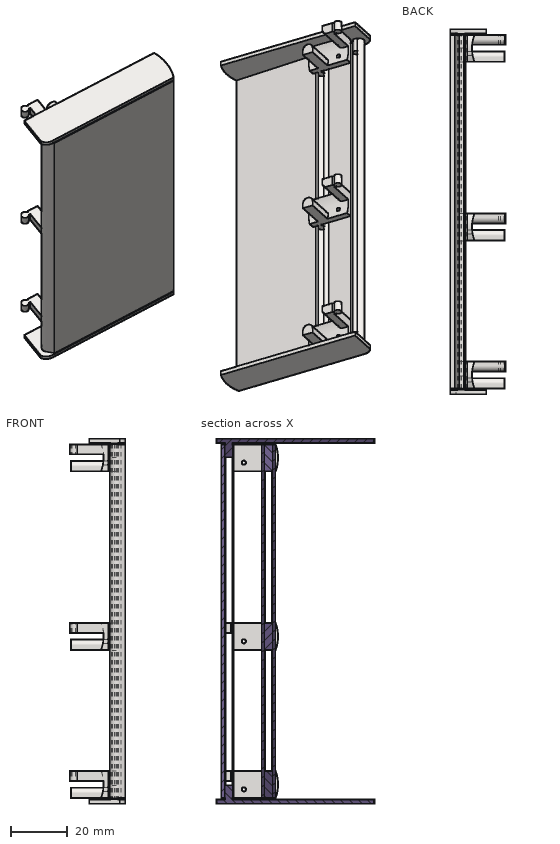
import cadquery as cq
import math

TOTAL_HEIGHT = 128.9
TOTAL_DEPTH = 19.65
CAP_THICKNESS = 1.6
CAP_WIDTH = 12.8
CAP_LENGTH = 55.85
CAP_CROWN = 1.2
CAP_CORNER_WIDTH = 2.0
CAP_CORNER_LENGTH = 3.6

CAP_GAP = 0.4
PANEL_HEIGHT = TOTAL_HEIGHT - 2 * (CAP_THICKNESS + CAP_GAP)
PANEL_HALF = PANEL_HEIGHT / 2
PANEL_BACK = CAP_WIDTH
PANEL_END = CAP_LENGTH - CAP_CROWN
WALL_INNER_END = 11.1
WALL_INNER_BEAD = 8.9

BEAD_RADIUS = 1.95
BEAD_X = 9.15
BEAD_Y = 3.6

GROOVE_DIAMETER = 2.7
GROOVE_RADIUS = GROOVE_DIAMETER / 2
PIN_GROOVE_X = 8.9
PIN_GROOVE_Y = 4.4
PIN_GROOVE_MOUTH = 2.3
PIN_LENGTH = 5.0
LIP_FRONT = 7.9
LIP_END = 6.2

RAIL_Y = 18.4
RAIL_WIDTH = 4.8
RAIL_FRONT = 7.95
RAIL_MOUTH = 2.4
RAIL_EDGE_ROUND = 0.7
RAIL_GROOVE_X = RAIL_FRONT + math.sqrt(GROOVE_RADIUS ** 2 - (RAIL_MOUTH / 2) ** 2)

BRACKET_HEIGHT = 9.6
MIDDLE_BRACKET_TOP = -0.6
BRACKET_TOPS = (PANEL_HALF, MIDDLE_BRACKET_TOP, BRACKET_HEIGHT - PANEL_HALF)

PLATE_BACK = 6.7
PLATE_WAIST = 5.1
PLATE_RIM = 4.2
PLATE_START = 5.65
PLATE_END = 21.8
PLATE_BULGE = 0.9

ARM_TIP = -6.4
ARM_HEIGHT = 3.6
ARM_WIDTH = 4.1
ARM_EDGE_ROUND = 2.0

HOOK_DIAMETER = 2.7
HOOK_RADIUS = HOOK_DIAMETER / 2
HOOK_X = PANEL_BACK - TOTAL_DEPTH + HOOK_RADIUS
HOOK_Y = 3.85
HOOK_NECK = 1.4

PEG_Y = 15.6
PEG_WIDTH = 3.9
PEG_RADIUS = PEG_WIDTH / 2
PEG_HEIGHT = 3.75

HOLE_DIAMETER = 1.4
HOLE_Y = 9.7
HOLE_HEIGHT = 3.1

FOOT_NECK = 1.5


def make_cap(bottom, pin_bottom):
    """Flat cap with a round pin that slides into the pin groove of the panel."""
    corner_radius = (CAP_CORNER_WIDTH ** 2 + CAP_CORNER_LENGTH ** 2) / (2 * CAP_CORNER_WIDTH)
    cover = (
        cq.Workplane("XY", origin=(0, 0, bottom))
        .lineTo(CAP_WIDTH - CAP_CORNER_WIDTH, 0)
        .radiusArc((CAP_WIDTH, CAP_CORNER_LENGTH), -corner_radius)
        .lineTo(CAP_WIDTH, PANEL_END)
        .threePointArc((CAP_WIDTH / 2, CAP_LENGTH), (0, PANEL_END))
        .close()
        .extrude(CAP_THICKNESS)
    )
    pin = (
        cq.Workplane("XY", origin=(PIN_GROOVE_X, PIN_GROOVE_Y, pin_bottom))
        .circle(GROOVE_RADIUS)
        .extrude(PIN_LENGTH)
    )
    return cover.union(pin)


def make_panel():
    floor = cq.Workplane("XY", origin=(0, 0, -PANEL_HALF))

    tangent = BEAD_RADIUS * math.sin(math.pi / 4)
    corner_x = BEAD_X + tangent
    corner_y = BEAD_Y - tangent
    wall = (
        floor.moveTo(WALL_INNER_END, PANEL_END)
        .lineTo(PANEL_BACK, PANEL_END)
        .lineTo(PANEL_BACK, corner_y + PANEL_BACK - corner_x)
        .lineTo(corner_x, corner_y)
        .lineTo(BEAD_X, BEAD_Y)
        .lineTo(WALL_INNER_BEAD, BEAD_Y + BEAD_RADIUS)
        .close()
        .extrude(PANEL_HEIGHT)
    )
    bead = floor.center(BEAD_X, BEAD_Y).circle(BEAD_RADIUS).extrude(PANEL_HEIGHT)

    rail_depth = (PANEL_BACK + WALL_INNER_END) / 2 - RAIL_FRONT
    rail = (
        floor.center(RAIL_FRONT + rail_depth / 2, RAIL_Y)
        .rect(rail_depth, RAIL_WIDTH)
        .extrude(PANEL_HEIGHT)
        .edges("|Z and <X")
        .fillet(RAIL_EDGE_ROUND)
    )
    rail_groove = (
        floor.center(RAIL_GROOVE_X, RAIL_Y).circle(GROOVE_RADIUS).extrude(PANEL_HEIGHT)
    )
    lip_depth = PANEL_BACK - LIP_FRONT
    lip_width = LIP_END - PIN_GROOVE_Y
    lip = (
        floor.center(LIP_FRONT + lip_depth / 2, PIN_GROOVE_Y + lip_width / 2)
        .rect(lip_depth, lip_width)
        .extrude(PANEL_HEIGHT)
    )
    pin_groove = floor.center(PIN_GROOVE_X, PIN_GROOVE_Y).circle(GROOVE_RADIUS).extrude(PANEL_HEIGHT)
    pin_mouth = (
        floor.center(PIN_GROOVE_X - BEAD_RADIUS / 2, PIN_GROOVE_Y)
        .rect(BEAD_RADIUS, PIN_GROOVE_MOUTH)
        .extrude(PANEL_HEIGHT)
    )
    profile = wall.union(bead).union(rail).union(lip)
    return profile.cut(rail_groove).cut(pin_groove).cut(pin_mouth)


def make_plate():
    """Plate with a hollow front face and a bulged +Y end, standing on z = 0."""
    body = (
        cq.Workplane("XZ", origin=(0, PLATE_START, 0))
        .moveTo(PLATE_BACK, 0)
        .lineTo(PLATE_RIM, 0)
        .threePointArc((PLATE_WAIST, BRACKET_HEIGHT / 2), (PLATE_RIM, BRACKET_HEIGHT))
        .lineTo(PLATE_BACK, BRACKET_HEIGHT)
        .close()
        .extrude(PLATE_START - PLATE_END)
    )
    corner = PLATE_END - PLATE_BULGE
    outline = (
        cq.Workplane("YZ")
        .moveTo(PLATE_START, 0)
        .lineTo(corner, 0)
        .threePointArc((PLATE_END, BRACKET_HEIGHT / 2), (corner, BRACKET_HEIGHT))
        .lineTo(PLATE_START, BRACKET_HEIGHT)
        .close()
        .extrude(PLATE_BACK)
    )
    hole = (
        cq.Workplane("YZ", origin=(PLATE_RIM, HOLE_Y, HOLE_HEIGHT))
        .circle(HOLE_DIAMETER / 2)
        .extrude(PLATE_BACK - PLATE_RIM)
    )
    return body.intersect(outline).cut(hole)


def make_arm():
    """Arm at the top of the plate, with a round hook on its tip."""
    bottom = BRACKET_HEIGHT - ARM_HEIGHT
    arm = (
        cq.Workplane("XY", origin=(ARM_TIP, PLATE_START, bottom))
        .box(PLATE_BACK - ARM_TIP, ARM_WIDTH, ARM_HEIGHT, centered=False)
        .edges("|X and >Y and <Z")
        .fillet(ARM_EDGE_ROUND)
    )
    hook = (
        cq.Workplane("XY", origin=(HOOK_X, HOOK_Y, bottom))
        .circle(HOOK_RADIUS)
        .extrude(ARM_HEIGHT)
    )
    neck = (
        cq.Workplane("XY", origin=(HOOK_X - HOOK_NECK / 2, HOOK_Y, bottom))
        .box(HOOK_NECK, PLATE_START - HOOK_Y, ARM_HEIGHT, centered=False)
    )
    return arm.union(neck).union(hook)


def make_peg():
    """Round-topped peg at the bottom of the plate."""
    shoulder = PEG_HEIGHT - PEG_RADIUS
    return (
        cq.Workplane("YZ", origin=(ARM_TIP, PEG_Y, 0))
        .moveTo(-PEG_RADIUS, 0)
        .lineTo(PEG_RADIUS, 0)
        .lineTo(PEG_RADIUS, shoulder)
        .threePointArc((0, PEG_HEIGHT), (-PEG_RADIUS, shoulder))
        .close()
        .extrude(PLATE_BACK - ARM_TIP)
    )


def make_foot():
    """Foot behind the plate: a neck and a round bar that fills the rail groove."""
    neck = (
        cq.Workplane("XY", origin=(PLATE_BACK, RAIL_Y - FOOT_NECK / 2, 0))
        .box(RAIL_GROOVE_X - PLATE_BACK, FOOT_NECK, BRACKET_HEIGHT, centered=False)
    )
    bar = (
        cq.Workplane("XY", origin=(RAIL_GROOVE_X, RAIL_Y, 0))
        .circle(GROOVE_RADIUS)
        .extrude(BRACKET_HEIGHT)
    )
    return neck.union(bar)


def make_bracket(top):
    bracket = make_plate().union(make_arm()).union(make_peg()).union(make_foot())
    return bracket.translate((0, 0, top - BRACKET_HEIGHT))


panel = make_panel()
lower_cap_bottom = -TOTAL_HEIGHT / 2
lower_cap_top = lower_cap_bottom + CAP_THICKNESS
upper_cap_bottom = -lower_cap_top
caps = [
    make_cap(lower_cap_bottom, lower_cap_top),
    make_cap(upper_cap_bottom, upper_cap_bottom - PIN_LENGTH),
]
brackets = [make_bracket(top) for top in BRACKET_TOPS]

result = cq.Compound.makeCompound(
    [panel.val(), *[cap.val() for cap in caps], *[bracket.val() for bracket in brackets]]
)